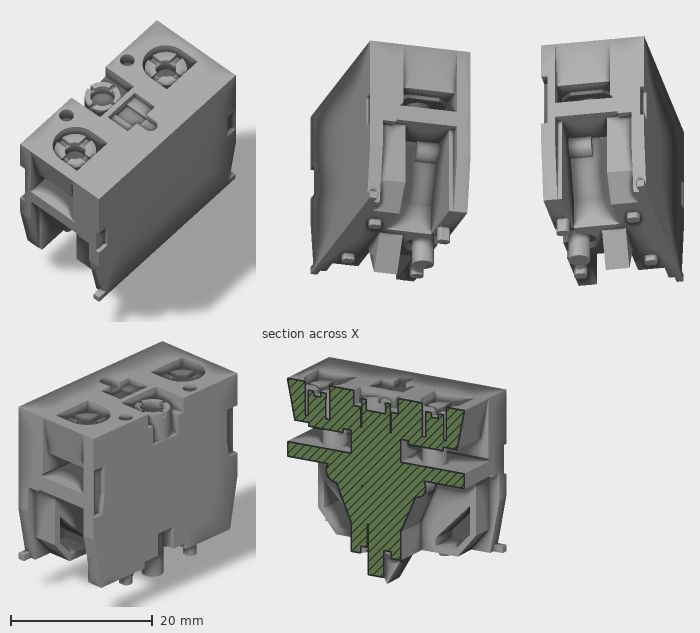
import cadquery as cq


width = 14.79
length = 29.2
height = 23.95
half_length = length / 2
end_skin = 0.09
taper_start = 8.1
foot_half_length = 13.05
peg_reach = 4.95

grip_bottom = 11.47
left_grip_top = 18.95
left_grip_bend = 14.3
left_grip_width = 0.9
left_grip_depth = 2.2
left_grip_foot_depth = 1.75
right_grip_top = 15.9
right_grip_width = 0.6
right_grip_depth = 1.8

terminal_x = 5.99
terminal_y = 9.68
terminal_head_radius = 2.97
terminal_socket_radius = 1.46
terminal_socket_depth = 2.1
terminal_slot_width = 1.03
terminal_head_top = 22.75
terminal_shaft_x = 5.9
terminal_shaft_y = 8.2
terminal_shaft_radius = 1.75
terminal_well_x = 6.05
terminal_well_y = 9.6
terminal_well_radius = 3.28
terminal_well_right = 9.15
terminal_well_floor = 19.0

fixing_x = 2.62
fixing_head_radius = 2.52
fixing_socket_radius = 1.73
fixing_socket_depth = 1.6
fixing_slot_width = 0.6
fixing_head_top = 22.94
fixing_well_floor = 18.7
fixing_well_radius = 2.62
fixing_recess_width = 5.34
fixing_recess_half_length = 3.63
fixing_recess_floor = 21.7
fixing_shank_radius = 1.55
fixing_shank_bottom = -3.0
shank_slot_half_length = 1.58
shank_slot_top = 4.45
base_recess_half_length = 4.25
base_recess_radius = 2.6
base_recess_height = 1.0
screw_slot_depth = 0.68

opening_left = 2.0
entry_right = 9.9
entry_floor = 14.58
entry_depth = 10.5
entry_corner_width = 0.5
flap_top = 23.85
flap_bottom = 17.9
flap_lean = 1.22
washer_left = 2.05
washer_right = 9.6
washer_thickness = 0.55
washer_half_length = 3.0
washer_corner = 1.5

frame_depth = 1.6
frame_step_x = 10.93
frame_top = 12.34
frame_step_top = 12.02
chamber_left = 2.67
chamber_right = 9.13
frame_right = 12.93
chamber_back_top = 7.2
chamber_back_bottom = 10.5
overhang_top = 11.67
overhang_bottom = 4.23
roller_right = 5.9
roller_radius = 1.62
roller_depth = 8.0
roller_height = 11.4
blade_thickness = 0.98
blade_bend = 3.56
blade_foot_depth = 4.6
blade_floor = 1.0
blade_inner_foot_depth = 5.0
pocket_right = 13.65
pocket_depth = 8.2
pocket_front_top = 7.8
pocket_back_top = 2.2

label_left = 6.12
label_right = 9.93
label_half_length = 2.9
label_depth = 1.05
label_step_half_length = 1.22
label_step_depth = 1.6
slider_half_width = 1.0
slider_end_x = 11.63
pin_hole_radius = 1.04
pin_hole_depth = 2.0

pin_y = 6.5
pin_x = 1.56
pin_radius = 0.935
pin_half_thickness = 0.75
pin_reach = 2.0
small_pin_x = 11.65
small_pin_reach = 0.9
wedge_left = 6.44
wedge_right = 9.83
wedge_half_length = 2.7
wedge_shoulder = 0.35
foot_left = 13.78
foot_height = 1.0

embed = 0.5
ENDS = (-1, 1)
SKINS = {-1: 0, 1: end_skin}


def box(x0, x1, y0, y1, z0, z1):
    return cq.Workplane("XY").box(x1 - x0, y1 - y0, z1 - z0, centered=False).translate((x0, y0, z0))


def cylinder(x, y, radius, z0, z1):
    return cq.Workplane("XY").center(x, y).circle(radius).extrude(z1 - z0).translate((0, 0, z0))


def side_profile(points, x0, x1):
    """Extrude a (y, z) outline from x0 to x1."""
    return cq.Workplane("YZ").polyline(points).close().extrude(x1 - x0).translate((x0, 0, 0))


def end_profile(points, x0, x1):
    """Extrude a (depth behind the -Y end face, z) outline from x0 to x1."""
    return side_profile([(depth - half_length, z) for depth, z in points], x0, x1)


def at_end(body, end):
    """Place a body modelled at the -Y end at either end."""
    return body if end < 0 else body.mirror("XZ")


def make_housing():
    outline = [
        (-foot_half_length, 0),
        (foot_half_length, 0),
        (half_length, taper_start),
        (half_length, height),
        (-half_length, height),
        (-half_length, taper_start),
    ]
    return side_profile(outline, 0, width)


def make_grips(skin):
    left = end_profile(
        [
            (skin, grip_bottom),
            (left_grip_foot_depth, grip_bottom),
            (left_grip_depth, left_grip_bend),
            (left_grip_depth, left_grip_top),
            (skin, left_grip_top),
        ],
        0,
        left_grip_width,
    )
    right = box(
        width - right_grip_width, width,
        skin - half_length, right_grip_depth - half_length,
        grip_bottom, right_grip_top,
    )
    return left.union(right)


def make_wire_entry():
    cavity = end_profile(
        [
            (0, entry_floor),
            (entry_depth, entry_floor),
            (entry_depth, flap_bottom),
            (flap_lean, flap_bottom),
            (0, flap_top),
        ],
        opening_left,
        entry_right,
    )
    corner = (
        cq.Workplane("XZ")
        .moveTo(entry_right, entry_floor)
        .lineTo(entry_right + entry_corner_width, entry_floor)
        .lineTo(entry_right, entry_floor + entry_corner_width)
        .close()
        .extrude(-entry_depth)
        .translate((0, -half_length, 0))
    )
    return cavity.union(corner)


def make_washer():
    return (
        box(
            washer_left, washer_right,
            -terminal_shaft_y - washer_half_length, -terminal_shaft_y + washer_half_length,
            flap_bottom - washer_thickness, flap_bottom,
        )
        .edges("|Z")
        .chamfer(washer_corner)
    )


def make_contact_chamber():
    frame = box(opening_left, frame_step_x, -half_length, frame_depth - half_length, 0, frame_top)
    frame_side = box(
        frame_step_x, frame_right, -half_length, frame_depth - half_length, 0, frame_step_top
    )
    chamber = end_profile(
        [
            (frame_depth, 0),
            (chamber_back_bottom, 0),
            (chamber_back_bottom, overhang_bottom),
            (chamber_back_top, overhang_top),
            (chamber_back_top, frame_top),
            (frame_depth, frame_top),
        ],
        chamber_left,
        chamber_right,
    )
    roller = (
        cq.Workplane("YZ")
        .center(roller_depth - half_length, roller_height)
        .circle(roller_radius)
        .extrude(roller_right - chamber_left)
        .translate((chamber_left, 0, 0))
    )
    blade_underside = end_profile(
        [(frame_depth, 0), (blade_foot_depth, 0), (frame_depth, blade_bend)],
        chamber_right,
        frame_right,
    )
    blade_back = frame_depth + blade_thickness
    side_pocket = end_profile(
        [
            (blade_back, blade_bend),
            (blade_inner_foot_depth, blade_floor),
            (pocket_depth, blade_floor),
            (pocket_depth, pocket_back_top),
            (blade_back, pocket_front_top),
        ],
        chamber_right,
        pocket_right,
    )
    chamber = chamber.cut(roller)
    return frame.union(frame_side).union(chamber).union(blade_underside).union(side_pocket)


def make_terminal_well(end):
    y = end * terminal_well_y
    near_y = y - terminal_well_radius
    far_y = y + terminal_well_radius
    left = terminal_well_x - terminal_well_radius
    round_part = cylinder(terminal_well_x, y, terminal_well_radius, terminal_well_floor, height)
    round_part = round_part.intersect(
        box(left, terminal_well_x, near_y, far_y, terminal_well_floor, height)
    )
    square_part = box(
        terminal_well_x, terminal_well_right, near_y, far_y, terminal_well_floor, height
    )
    return round_part.union(square_part)


def make_screw_head(x, y, radius, socket_radius, socket_depth, slot_width, bottom, top):
    """Cylinder head with a round socket and four slots across its rim."""
    head = cylinder(x, y, radius, bottom, top)
    head = head.cut(cylinder(x, y, socket_radius, top - socket_depth, top))
    half_slot = slot_width / 2
    slot_bottom = top - screw_slot_depth
    head = head.cut(box(x - radius, x + radius, y - half_slot, y + half_slot, slot_bottom, top))
    return head.cut(box(x - half_slot, x + half_slot, y - radius, y + radius, slot_bottom, top))


def make_fixing_well():
    recess = box(
        0, fixing_recess_width,
        -fixing_recess_half_length, fixing_recess_half_length,
        fixing_recess_floor, height,
    )
    slot = box(0, fixing_x, -fixing_well_radius, fixing_well_radius, fixing_well_floor, height)
    round_end = cylinder(fixing_x, 0, fixing_well_radius, fixing_well_floor, height)
    return recess.union(slot).union(round_end)


def make_shank_recess():
    slot = box(0, fixing_x, -shank_slot_half_length, shank_slot_half_length, 0, shank_slot_top)
    slot_end = cylinder(fixing_x, 0, shank_slot_half_length, 0, shank_slot_top)
    base = box(0, fixing_x, -base_recess_half_length, base_recess_half_length, 0, base_recess_height)
    base_end = cylinder(fixing_x, 0, base_recess_radius, 0, base_recess_height)
    return slot.union(slot_end).union(base).union(base_end)


def make_label_window():
    window = box(
        label_left, label_right, -label_half_length, label_half_length, height - label_depth, height
    )
    step = box(
        label_left, label_right,
        -label_step_half_length, label_step_half_length,
        height - label_step_depth, height,
    )
    slider = box(
        label_right, slider_end_x,
        -slider_half_width, slider_half_width,
        height - label_depth, height,
    )
    slider_end = cylinder(slider_end_x, 0, slider_half_width, height - label_depth, height)
    return window.union(step).union(slider).union(slider_end)


def make_pin(x, y, reach):
    """Round pin with a flat on each Y side."""
    flats = box(
        x - pin_radius, x + pin_radius,
        y - pin_half_thickness, y + pin_half_thickness,
        -reach, embed,
    )
    return cylinder(x, y, pin_radius, -reach, embed).intersect(flats)


def make_wedge():
    outline = [
        (-wedge_half_length, embed),
        (-wedge_half_length, -wedge_shoulder),
        (0, -peg_reach),
        (wedge_half_length, -wedge_shoulder),
        (wedge_half_length, embed),
    ]
    return side_profile(outline, wedge_left, wedge_right)


result = make_housing()
for end in ENDS:
    result = result.cut(at_end(make_grips(SKINS[end]), end))
    result = result.cut(at_end(make_wire_entry(), end))
    result = result.cut(at_end(make_contact_chamber(), end))
    result = result.cut(make_terminal_well(end))
    result = result.cut(cylinder(pin_x, end * pin_y, pin_hole_radius, height - pin_hole_depth, height))
result = result.cut(make_fixing_well()).cut(make_shank_recess()).cut(make_label_window())

for end in ENDS:
    result = result.union(
        make_screw_head(
            terminal_x, end * terminal_y, terminal_head_radius,
            terminal_socket_radius, terminal_socket_depth, terminal_slot_width,
            terminal_well_floor - embed, terminal_head_top,
        )
    )
    result = result.union(
        cylinder(
            terminal_shaft_x, end * terminal_shaft_y, terminal_shaft_radius,
            entry_floor - embed, flap_bottom + embed,
        )
    )
    result = result.union(at_end(make_washer(), end))
    result = result.union(make_pin(pin_x, end * pin_y, pin_reach))
    result = result.union(make_pin(small_pin_x, end * pin_y, small_pin_reach))
    foot = box(foot_left, width, SKINS[end] - half_length, embed - foot_half_length, 0, foot_height)
    result = result.union(at_end(foot, end))
result = result.union(
    make_screw_head(
        fixing_x, 0, fixing_head_radius,
        fixing_socket_radius, fixing_socket_depth, fixing_slot_width,
        fixing_well_floor - embed, fixing_head_top,
    )
)
result = result.union(
    cylinder(fixing_x, 0, fixing_shank_radius, fixing_shank_bottom, shank_slot_top + embed)
)
result = result.union(make_wedge())